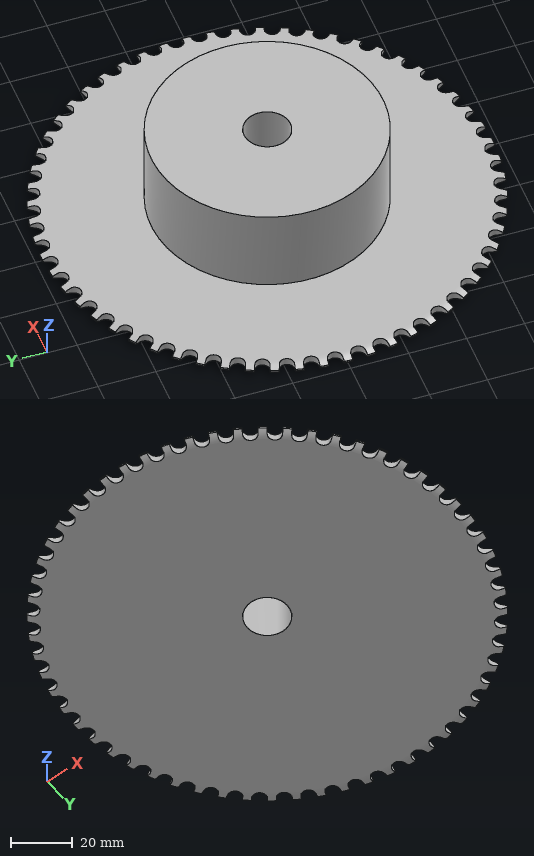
import cadquery as cq
import math

tooth_count = 60
tip_radius = 156.2 / 2
root_radius = 73.9
gap_radius = 2.5
flank_tilt = math.radians(3.5)
disc_thickness = 2.8

face_radius = 74.2
tip_thickness = 0.8

hub_diameter = 80.0
bore_diameter = 16.0
total_height = 34.0

tooth_angle = 360 / tooth_count


def make_blank():
    """Toothless disc whose rim is rounded on both faces, tangent to the flats."""
    rim_depth = tip_radius - face_radius
    rim_drop = (disc_thickness - tip_thickness) / 2
    rounding_radius = (rim_depth**2 + rim_drop**2) / (2 * rim_drop)
    half_sweep = math.asin(rim_depth / rounding_radius) / 2
    mid_radius = face_radius + rounding_radius * math.sin(half_sweep)
    mid_drop = rounding_radius * (1 - math.cos(half_sweep))
    return (
        cq.Workplane("XZ")
        .lineTo(face_radius, 0)
        .threePointArc((mid_radius, mid_drop), (tip_radius, rim_drop))
        .lineTo(tip_radius, disc_thickness - rim_drop)
        .threePointArc((mid_radius, disc_thickness - mid_drop), (face_radius, disc_thickness))
        .lineTo(0, disc_thickness)
        .close()
        .revolve(360, (0, 0), (0, 1))
    )


def make_gap():
    """Cutter for one roller gap on the X axis: round bottom, flanks opening outwards."""
    centre = root_radius + gap_radius
    flank_x = centre - gap_radius * math.sin(flank_tilt)
    flank_y = gap_radius * math.cos(flank_tilt)
    outer_x = tip_radius + gap_radius
    outer_y = flank_y + (outer_x - flank_x) * math.tan(flank_tilt)
    return (
        cq.Workplane("XY")
        .moveTo(outer_x, -outer_y)
        .lineTo(flank_x, -flank_y)
        .threePointArc((root_radius, 0), (flank_x, flank_y))
        .lineTo(outer_x, outer_y)
        .close()
        .extrude(disc_thickness)
    )


def cut_teeth(blank):
    """Cut all gaps, leaving a tooth centred on each of the X and Y axes."""
    gap = make_gap()
    gaps = [
        gap.rotate((0, 0, 0), (0, 0, 1), (index + 0.5) * tooth_angle).val()
        for index in range(tooth_count)
    ]
    return blank.cut(cq.Workplane("XY").newObject([cq.Compound.makeCompound(gaps)]))


sprocket = cut_teeth(make_blank())
hub = cq.Workplane("XY").circle(hub_diameter / 2).extrude(total_height)
bore = cq.Workplane("XY").circle(bore_diameter / 2).extrude(total_height)

result = sprocket.union(hub).cut(bore)